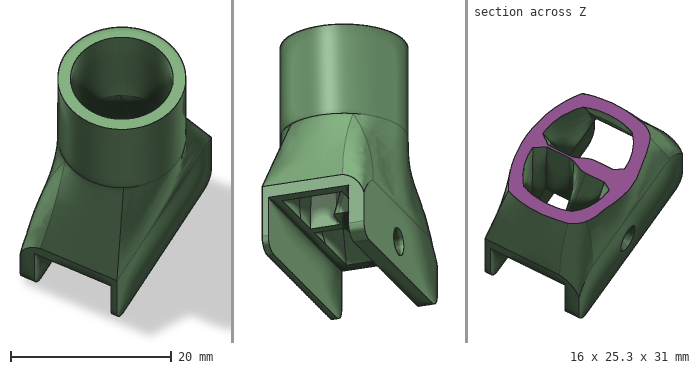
import cadquery as cq
import math

total_height = 31.0
tube_outer_radius = 16.0 / 2
tube_bore_radius = 12.8 / 2
tube_base_z = 18.9

block_length = 25.3
block_front_y = -13.33
block_back_y = block_front_y + block_length
block_left_x = -7.32
block_right_x = 6.32
block_top_z = 8.6
left_leg_thickness = 2.05
right_leg_thickness = 0.85
slot_height = 7.0
leg_corner_radius = 1.85

corner_run_x = 2.85
corner_run_y = 3.13
corner_drop = 2.88
corner_bulge_x = 0.4
corner_bulge_y = 0.25

wide_seam_angle = 60.7
narrow_seam_angle = 55.7
end_seam_bulge_x = 0.3
end_seam_bulge_y = 0.25
side_seam_bulge_x = 0.7
side_seam_bulge_y = 0.25

slope_positions = (0.2, 0.4, 0.6, 0.8)

duct_left_x = -3.75
duct_right_x = 4.25
duct_end_wall = 1.6
divider_half_depth = 4.03
divider_right_x = 0.05
divider_corner_radius = 0.8
rib_half_thickness = 0.65
rib_root_radius = 0.62
ridge_left_x = -4.87
ridge_right_x = 4.35
wall_split = 0.35

hole_diameter = 3.5
hole_z = 3.78


def point_at(radius, degrees, z):
    angle = math.radians(degrees)
    return cq.Vector(radius * math.cos(angle), radius * math.sin(angle), z)


def line(start, end):
    return cq.Edge.makeLine(cq.Vector(start), cq.Vector(end))


def bulged_arc(start, end, bulge):
    """Arc whose middle is moved off the straight line by the vector bulge."""
    start = cq.Vector(start)
    end = cq.Vector(end)
    return cq.Edge.makeThreePointArc(start, (start + end) * 0.5 + cq.Vector(bulge), end)


def circle_arc(radius, start_angle, end_angle, z):
    middle_angle = (start_angle + end_angle) / 2
    return cq.Edge.makeThreePointArc(
        point_at(radius, start_angle, z),
        point_at(radius, middle_angle, z),
        point_at(radius, end_angle, z),
    )


def flat_face(edges):
    return cq.Face.makeFromWires(cq.Wire.assembleEdges(edges))


def ruled_face(upper_edge, lower_edge):
    return cq.Face.makeRuledSurface(upper_edge, lower_edge)


def curved_face(edges, inner_points=()):
    """Smooth face bounded by the edges and passing through the inner points."""
    return cq.Face.makeNSidedSurface(edges, inner_points)


def straight_slope_points(ring, foot_start, foot_end):
    """Points on straight slopes from a piece of the tube ring to the matching foot line."""
    points = []
    for across in slope_positions:
        foot = foot_start + (foot_end - foot_start) * across
        ring_point = ring.positionAt(across)
        points += [ring_point + (foot - ring_point) * down for down in slope_positions]
    return points


def make_solid(faces):
    return cq.Solid.makeSolid(cq.Shell.makeShell(faces)).fix()


def make_body_end(end_y, outward, left_seam, right_seam, ring):
    """Faces of one Y end of the body, with the edges shared by the left and right sides."""
    low_left = cq.Vector(block_left_x, end_y, 0)
    low_right = cq.Vector(block_right_x, end_y, 0)
    top_right = cq.Vector(block_right_x, end_y, block_top_z)
    top_left = cq.Vector(block_left_x + corner_run_x, end_y, block_top_z)
    corner_tip = cq.Vector(block_left_x, end_y, block_top_z - corner_drop)
    side_top = cq.Vector(block_left_x, end_y - outward * corner_run_y, block_top_z)

    end_corner = bulged_arc(top_left, corner_tip, (-corner_bulge_x, 0, corner_bulge_x))
    side_corner = bulged_arc(corner_tip, side_top, (0, outward * corner_bulge_y, corner_bulge_y))
    end_seam = bulged_arc(left_seam, top_left, (end_seam_bulge_x, outward * end_seam_bulge_y, 0))
    side_seam = bulged_arc(side_top, left_seam, (-side_seam_bulge_x, -outward * side_seam_bulge_y, 0))
    right_seam_edge = line(right_seam, top_right)
    top_edge = line(top_left, top_right)
    left_vertical = line(corner_tip, low_left)
    right_vertical = line(low_right, top_right)

    if outward < 0:
        slope_points = straight_slope_points(ring, top_left, top_right)
    else:
        slope_points = straight_slope_points(ring, top_right, top_left)
    bottom_edge = line(low_left, low_right)
    faces = [
        flat_face([top_edge, end_corner, left_vertical, bottom_edge, right_vertical]),
        curved_face([end_seam, top_edge, right_seam_edge, ring], slope_points),
        curved_face([end_corner, side_corner, side_seam, end_seam]),
    ]
    return {
        "faces": faces,
        "low_left": low_left,
        "low_right": low_right,
        "top_right": top_right,
        "side_top": side_top,
        "left_edges": [side_corner, left_vertical],
        "side_seam": side_seam,
        "right_vertical": right_vertical,
        "bottom_edge": bottom_edge,
    }


def make_outer_body():
    """Solid block and transition skin, up to the underside of the tube."""
    angles = [
        -wide_seam_angle,
        narrow_seam_angle,
        180 - wide_seam_angle,
        180 + narrow_seam_angle,
        360 - wide_seam_angle,
    ]
    front_right, back_right, back_left, front_left = [
        point_at(tube_outer_radius, angle, tube_base_z) for angle in angles[:-1]
    ]
    right_ring, back_ring, left_ring, front_ring = [
        circle_arc(tube_outer_radius, start, end, tube_base_z) for start, end in zip(angles, angles[1:])
    ]

    front = make_body_end(block_front_y, -1, front_left, front_right, front_ring)
    back = make_body_end(block_back_y, 1, back_left, back_right, back_ring)

    left_top_edge = line(front["side_top"], back["side_top"])
    left_low_edge = line(front["low_left"], back["low_left"])
    right_top_edge = line(front["top_right"], back["top_right"])
    right_low_edge = line(front["low_right"], back["low_right"])
    left_slope_edges = [left_top_edge, back["side_seam"], left_ring, front["side_seam"]]
    left_slope_points = straight_slope_points(left_ring, back["side_top"], front["side_top"])

    side_faces = [
        curved_face(left_slope_edges, left_slope_points),
        ruled_face(right_ring, right_top_edge),
        flat_face([left_top_edge, *back["left_edges"], left_low_edge, *front["left_edges"]]),
        flat_face([right_top_edge, back["right_vertical"], right_low_edge, front["right_vertical"]]),
        flat_face([front["bottom_edge"], right_low_edge, back["bottom_edge"], left_low_edge]),
        flat_face([right_ring, back_ring, left_ring, front_ring]),
    ]
    return cq.Workplane(make_solid(front["faces"] + back["faces"] + side_faces))


def make_duct(outward, end_y, left_angle, right_angle):
    """Half-circle to L-shaped duct on the side of the divider given by outward (-1 or 1)."""

    def ridge_point(x):
        return cq.Vector(x, 0, tube_base_z)

    def outlet_point(x, y):
        return cq.Vector(x, outward * y, slot_height)

    def ring_arc(start, end):
        return circle_arc(tube_bore_radius, outward * start, outward * end, tube_base_z)

    def outlet_arc(start, center, radius, end, bend):
        """Quarter arc; bend points from the center towards the middle of the arc."""
        diagonal = radius / math.sqrt(2)
        middle = outlet_point(center[0] + bend[0] * diagonal, center[1] + bend[1] * diagonal)
        return cq.Edge.makeThreePointArc(outlet_point(*start), middle, outlet_point(*end))

    end = outward * end_y
    left_split_y = divider_half_depth + wall_split * (end - divider_half_depth)
    right_split_y = rib_half_thickness + wall_split * (end - rib_half_thickness)
    bend_center = (divider_right_x - divider_corner_radius, divider_half_depth - divider_corner_radius)
    root_center = (divider_right_x + rib_root_radius, rib_half_thickness + rib_root_radius)
    bend_start = (bend_center[0], divider_half_depth)
    bend_end = (divider_right_x, bend_center[1])
    root_start = (divider_right_x, root_center[1])
    root_end = (root_center[0], rib_half_thickness)
    left_wall_start = outlet_point(duct_left_x, left_split_y)
    left_wall_end = outlet_point(duct_left_x, divider_half_depth)
    right_wall_start = outlet_point(duct_right_x, rib_half_thickness)
    right_wall_end = outlet_point(duct_right_x, right_split_y)
    right_far_corner = outlet_point(duct_right_x, end)
    left_far_corner = outlet_point(duct_left_x, end)

    divider_edges = [
        line(left_wall_end, outlet_point(*bend_start)),
        outlet_arc(bend_start, bend_center, divider_corner_radius, bend_end, (1, 1)),
        line(outlet_point(*bend_end), outlet_point(*root_start)),
        outlet_arc(root_start, root_center, rib_root_radius, root_end, (-1, -1)),
        line(outlet_point(*root_end), right_wall_start),
    ]
    lengths = [edge.Length() for edge in divider_edges]
    ridge_scale = (ridge_right_x - ridge_left_x) / sum(lengths)
    ridge_xs = [-tube_bore_radius]
    ridge_xs += [ridge_left_x + ridge_scale * sum(lengths[:count]) for count in range(len(lengths) + 1)]
    ridge_xs += [tube_bore_radius]

    upper_edges = [line(ridge_point(a), ridge_point(b)) for a, b in zip(ridge_xs, ridge_xs[1:])]
    upper_edges += [ring_arc(0, right_angle), ring_arc(right_angle, left_angle), ring_arc(left_angle, 180)]
    lower_edges = [
        line(left_wall_start, left_wall_end),
        *divider_edges,
        line(right_wall_start, right_wall_end),
        line(right_wall_end, right_far_corner),
        line(right_far_corner, left_far_corner),
        line(left_far_corner, left_wall_start),
    ]
    faces = [ruled_face(upper, lower) for upper, lower in zip(upper_edges, lower_edges)]
    faces += [flat_face(upper_edges), flat_face(lower_edges)]
    return make_solid(faces)


def make_tube():
    tube = cq.Workplane().workplane(offset=tube_base_z).circle(tube_outer_radius)
    return tube.circle(tube_bore_radius).extrude(total_height - tube_base_z)


def cut_slot(body):
    """Rail slot between the two legs, with the lower leg corners rounded."""
    slot_left_x = block_left_x + left_leg_thickness
    slot_width = block_right_x - right_leg_thickness - slot_left_x
    slot = cq.Workplane().box(slot_width, block_length, slot_height, centered=False)
    body = body.cut(slot.translate((slot_left_x, block_front_y, 0)))
    for end_y in (block_front_y, block_back_y):
        for x in (block_left_x, block_right_x):
            near = cq.selectors.NearestToPointSelector((x, end_y, 0))
            body = body.edges("|X and <Z").edges(near).fillet(leg_corner_radius)
    return body


def make_leg_hole():
    hole = cq.Workplane("YZ", origin=(block_left_x, 0, hole_z)).circle(hole_diameter / 2)
    return hole.extrude(left_leg_thickness)


body = cut_slot(make_outer_body())
body = body.cut(make_leg_hole())
body = body.cut(make_duct(-1, block_front_y + duct_end_wall, 180 - narrow_seam_angle, wide_seam_angle))
body = body.cut(make_duct(1, block_back_y - duct_end_wall, 180 - wide_seam_angle, narrow_seam_angle))
result = body.union(make_tube())